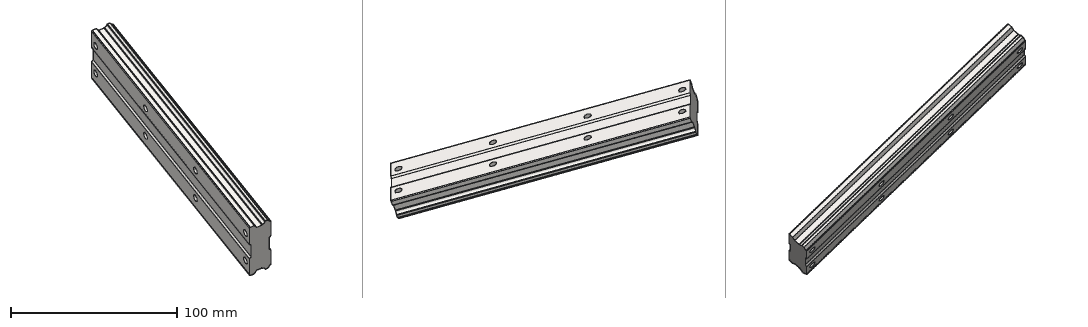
import cadquery as cq
import math

length = 190.0
thickness = 15.0
height = 42.0
half_thickness = thickness / 2
half_height = height / 2

relief_depth = 1.1
relief_floor_height = 10.0
relief_floor_z = relief_floor_height / 2
relief_mouth_z = relief_floor_z + relief_depth

front_chamfer = 0.5
back_shoulder_width = 0.5
back_slope_run = 1.7
back_slope_drop = 2.0

groove_front_y = -4.2
groove_back_y = 3.6
groove_depth = 2.3
front_flank_run = 1.7

lip_chamfer = 0.4
track_width = 1.7
track_height = 1.5
track_sag = 0.4
track_depth = lip_chamfer + track_height
track_chord = math.hypot(track_width, track_height)

hole_diameter = 4.4
hole_end_distance = 5.0
hole_row_spacing = 24.0
holes_per_row = 4
hole_pitch = (length - 2 * hole_end_distance) / (holes_per_row - 1)


def upper_half():
    """Half of the bar above mid-height, drawn from front to back and extruded along X."""
    relief_y = half_thickness - relief_depth
    shoulder_y = half_thickness - back_shoulder_width
    floor_z = half_height - groove_depth
    track_top_y = groove_back_y - lip_chamfer
    track_top_z = half_height - lip_chamfer
    track_bottom_y = track_top_y - track_width
    track_bottom_z = half_height - track_depth
    step_run = groove_depth - track_depth
    track_middle = (
        track_top_y - track_width / 2 + track_sag * track_height / track_chord,
        track_top_z - track_height / 2 - track_sag * track_width / track_chord,
    )
    return (
        cq.Workplane("YZ")
        .moveTo(-relief_y, 0)
        .lineTo(-relief_y, relief_floor_z)
        .lineTo(-half_thickness, relief_mouth_z)
        .lineTo(-half_thickness, half_height - front_chamfer)
        .lineTo(-half_thickness + front_chamfer, half_height)
        .lineTo(groove_front_y, half_height)
        .lineTo(groove_front_y + front_flank_run, floor_z)
        .lineTo(track_bottom_y - step_run, floor_z)
        .lineTo(track_bottom_y, track_bottom_z)
        .threePointArc(track_middle, (track_top_y, track_top_z))
        .lineTo(groove_back_y, half_height)
        .lineTo(shoulder_y - back_slope_run, half_height)
        .lineTo(shoulder_y, half_height - back_slope_drop)
        .lineTo(half_thickness, half_height - back_slope_drop)
        .lineTo(half_thickness, relief_mouth_z)
        .lineTo(relief_y, relief_floor_z)
        .lineTo(relief_y, 0)
        .close()
        .extrude(length / 2, both=True)
    )


def bar():
    """Join the upper half to its mirror image below mid-height."""
    upper = upper_half()
    return upper.union(upper.mirror("XY")).clean()


def mounting_holes():
    """Cylinders through the full thickness at every hole position."""
    return (
        cq.Workplane("XZ")
        .rarray(hole_pitch, hole_row_spacing, holes_per_row, 2)
        .circle(hole_diameter / 2)
        .extrude(half_thickness, both=True)
    )


result = bar().cut(mounting_holes())